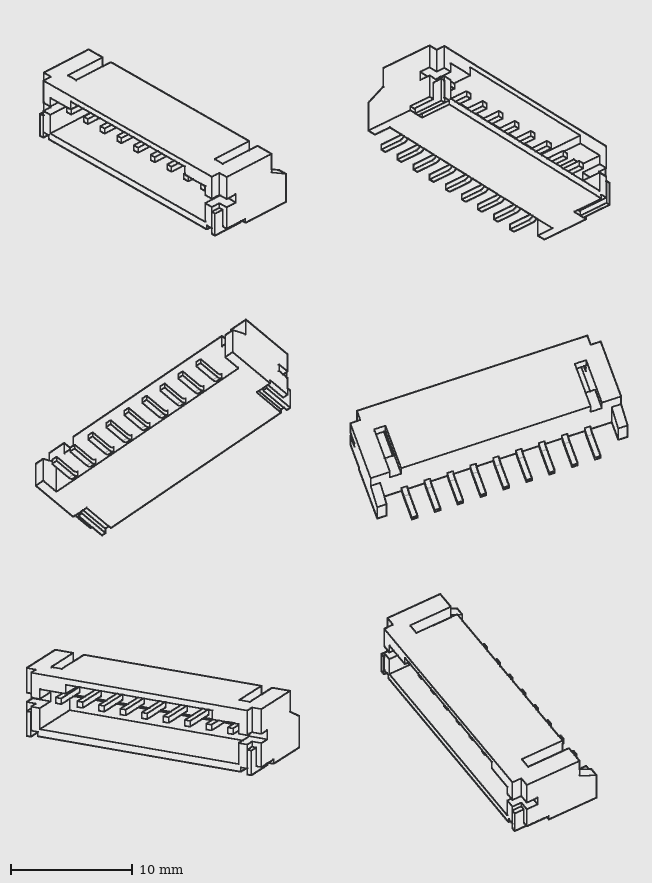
import cadquery as cq
import math


width = 21.9
top_z = 5.6
body_bottom_z = 0.13
front_y = 0.02
back_y = 6.0
side_x = width / 2

ear_width = 0.83
ear_back_y = 7.65
ear_slope_top_z = 3.77
ear_slope_bottom_z = 2.9

end_wall = 1.69
floor_thickness = 0.65
ceiling_z = 4.3
raised_ceiling_z = 5.08
raised_ceiling_inset = 4.12
upper_cavity_depth = 4.27
lower_cavity_depth = 5.35
cavity_slope_top_z = 2.63
cavity_slope_bottom_z = 2.05
cavity_half_width = side_x - end_wall
floor_z = body_bottom_z + floor_thickness

top_slot_width = 0.99
top_slot_front_y = 2.04

side_slot_depth = 1.93
side_slot_height = 0.8
side_slot_z = cavity_slope_top_z

corner_notch = 0.88

clip_inset = 0.48
clip_thickness = 0.4
clip_top_z = 2.17
clip_foot_height = 0.53
clip_foot_length = 2.91
clip_pocket_width = 1.5
clip_pocket_length = 3.02

pin_count = 9
pin_row_length = 16.0
pin_pitch = pin_row_length / (pin_count - 1)
pin_size = 0.5
pin_tip_y = 0.96
pin_top_z = side_slot_z + side_slot_height
tail_end_y = 8.6
tail_flat_length = 2.01
tail_bend_radius = 0.65
tail_bend_angle = math.radians(70)


def box(x0, x1, y0, y1, z0, z1):
    """Axis-aligned box between two opposite corners."""
    return cq.Workplane("XY").box(x1 - x0, y1 - y0, z1 - z0, centered=False).translate((x0, y0, z0))


def side_profile(points, x0, x1):
    """Extrude a closed (Y, Z) outline from x0 to x1."""
    return cq.Workplane("YZ", origin=(x0, 0, 0)).polyline(points).close().extrude(x1 - x0)


def both_ends(left_half):
    """Add the mirror image at the opposite end of the connector."""
    return left_half.union(left_half.mirror("YZ"))


def housing_block():
    block = box(-side_x, side_x, front_y, back_y, body_bottom_z, top_z)
    ear = side_profile(
        [
            (front_y, body_bottom_z),
            (ear_back_y, body_bottom_z),
            (ear_back_y, ear_slope_bottom_z),
            (back_y, ear_slope_top_z),
            (front_y, ear_slope_top_z),
        ],
        -side_x,
        -side_x + ear_width,
    )
    return block.union(both_ends(ear))


def cavity():
    main = side_profile(
        [
            (0, floor_z),
            (lower_cavity_depth, floor_z),
            (lower_cavity_depth, cavity_slope_bottom_z),
            (upper_cavity_depth, cavity_slope_top_z),
            (upper_cavity_depth, ceiling_z),
            (0, ceiling_z),
        ],
        -cavity_half_width,
        cavity_half_width,
    )
    raised_half_width = side_x - raised_ceiling_inset
    raised = box(-raised_half_width, raised_half_width, 0, upper_cavity_depth, floor_z, raised_ceiling_z)
    return main.union(raised)


def end_cuts():
    """Top slot, end-wall slot, corner notch and clip pocket of both ends."""
    top_slot = box(
        -cavity_half_width, -cavity_half_width + top_slot_width, top_slot_front_y, back_y, ceiling_z, top_z
    )
    side_slot = box(
        -side_x, -cavity_half_width, 0, side_slot_depth, side_slot_z, side_slot_z + side_slot_height
    )
    notch = box(-side_x, -side_x + corner_notch, 0, corner_notch, body_bottom_z, top_z)
    pocket = box(
        -side_x, -side_x + clip_pocket_width, 0, clip_pocket_length, body_bottom_z, clip_foot_height
    )
    return both_ends(top_slot.union(side_slot).union(notch).union(pocket))


def solder_clips():
    x0 = -side_x + clip_inset
    clip = side_profile(
        [
            (0, 0),
            (clip_foot_length, 0),
            (clip_foot_length, clip_foot_height),
            (corner_notch, clip_foot_height),
            (corner_notch, clip_top_z),
            (0, clip_top_z),
        ],
        x0,
        x0 + clip_thickness,
    )
    return both_ends(clip)


def contact(x):
    """Straight mating pin plus a solder tail that curves up into the back wall."""
    x0 = x - pin_size / 2
    pin = box(x0, x0 + pin_size, pin_tip_y, back_y, pin_top_z - pin_size, pin_top_z)
    bend_y = tail_end_y - tail_flat_length
    bend_end_y = bend_y - tail_bend_radius * math.sin(tail_bend_angle)
    bend_rise = tail_bend_radius * (1 - math.cos(tail_bend_angle))
    tail = (
        cq.Workplane("YZ", origin=(x0, 0, 0))
        .moveTo(tail_end_y, 0)
        .lineTo(bend_y, 0)
        .radiusArc((bend_end_y, bend_rise), tail_bend_radius)
        .lineTo(bend_end_y, bend_rise + pin_size)
        .radiusArc((bend_y, pin_size), -tail_bend_radius)
        .lineTo(tail_end_y, pin_size)
        .close()
        .extrude(pin_size)
    )
    return pin.union(tail)


result = housing_block().cut(cavity()).cut(end_cuts()).union(solder_clips())
for i in range(pin_count):
    result = result.union(contact(i * pin_pitch - pin_row_length / 2))